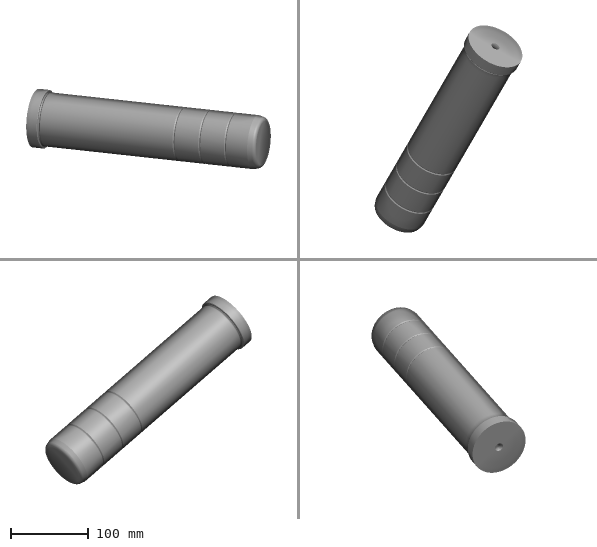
import cadquery as cq
import math

LENGTH = 310.0
HEAD_RADIUS = 76.0 / 2
HEAD_LENGTH = 15.0
HEAD_CHAMFER = 0.5
SHAFT_RADIUS = 70.0 / 2

GROOVE_WIDTH = 2.8
GROOVE_DEPTH = 1.0
GROOVE_SPACING = 35.0
FIRST_GROOVE = 198.5
GROOVE_COUNT = 3

LEAD_LENGTH = 10.0
LEAD_DROP = 1.5
NOSE_LENGTH = 3.7
NOSE_DROP = 4.5
NOSE_BULGE = 1.0

CENTRE_MOUTH_RADIUS = 5.5
CENTRE_DRILL_RADIUS = 3.0
CENTRE_HALF_ANGLE = 30.0
CENTRE_DRILL_DEPTH = 9.3
DRILL_TIP_HALF_ANGLE = 60.0


def revolve_about_x(profile):
    """Close an (X, radius) profile and turn it about the X axis."""
    return profile.close().revolve(360, (0, 0, 0), (1, 0, 0))


def make_body():
    """Headed shaft with a tapered and rounded free end."""
    lead_start = LENGTH - LEAD_LENGTH
    taper_end = LENGTH - NOSE_LENGTH
    taper_end_radius = SHAFT_RADIUS - LEAD_DROP
    nose_end_radius = taper_end_radius - NOSE_DROP
    nose_chord = math.hypot(NOSE_LENGTH, NOSE_DROP)
    nose_middle = (
        taper_end + NOSE_LENGTH / 2 + NOSE_BULGE * NOSE_DROP / nose_chord,
        taper_end_radius - NOSE_DROP / 2 + NOSE_BULGE * NOSE_LENGTH / nose_chord,
    )
    profile = (
        cq.Workplane("XY")
        .lineTo(0, HEAD_RADIUS)
        .lineTo(HEAD_LENGTH - HEAD_CHAMFER, HEAD_RADIUS)
        .lineTo(HEAD_LENGTH, HEAD_RADIUS - HEAD_CHAMFER)
        .lineTo(HEAD_LENGTH, SHAFT_RADIUS)
        .lineTo(lead_start, SHAFT_RADIUS)
        .lineTo(taper_end, taper_end_radius)
        .threePointArc(nose_middle, (LENGTH, nose_end_radius))
        .lineTo(LENGTH, 0)
    )
    return revolve_about_x(profile)


def make_groove(start):
    """Ring cutter for a shallow V groove."""
    profile = (
        cq.Workplane("XY")
        .moveTo(start, SHAFT_RADIUS)
        .lineTo(start + GROOVE_WIDTH / 2, SHAFT_RADIUS - GROOVE_DEPTH)
        .lineTo(start + GROOVE_WIDTH, SHAFT_RADIUS)
    )
    return revolve_about_x(profile)


def make_centre_hole():
    """Cutter for a countersunk centre hole with a conical bottom."""
    countersink_drop = CENTRE_MOUTH_RADIUS - CENTRE_DRILL_RADIUS
    countersink_depth = countersink_drop / math.tan(math.radians(CENTRE_HALF_ANGLE))
    tip_length = CENTRE_DRILL_RADIUS / math.tan(math.radians(DRILL_TIP_HALF_ANGLE))
    profile = (
        cq.Workplane("XY")
        .lineTo(0, CENTRE_MOUTH_RADIUS)
        .lineTo(countersink_depth, CENTRE_DRILL_RADIUS)
        .lineTo(CENTRE_DRILL_DEPTH, CENTRE_DRILL_RADIUS)
        .lineTo(CENTRE_DRILL_DEPTH + tip_length, 0)
    )
    return revolve_about_x(profile)


result = make_body()
result = result.cut(make_groove(HEAD_LENGTH))
for index in range(GROOVE_COUNT):
    result = result.cut(make_groove(FIRST_GROOVE + index * GROOVE_SPACING))
result = result.cut(make_centre_hole())